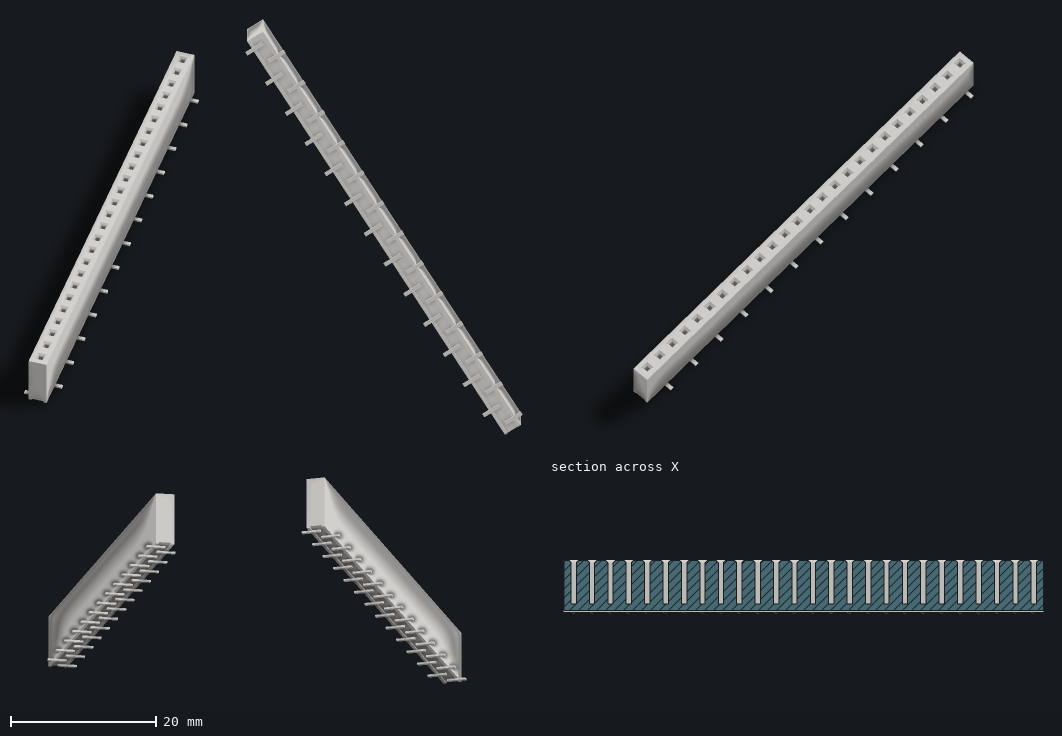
import cadquery as cq

overall_width = 4.65
overall_height = 7.4
body_length = 66.25
body_width = 2.6

contact_count = 26
end_margin = 1.4
pitch = (body_length - 2 * end_margin) / (contact_count - 1)
contact_ys = [i * pitch + end_margin - body_length / 2 for i in range(contact_count)]

tail_thickness = 0.25
tail_width = 0.5
tail_overlap = 0.3
tail_length = overall_width / 2 + tail_overlap

channel_width = 1.7
channel_depth = 0.2

mouth_size = 1.25
socket_size = 0.65
socket_depth = 5.95
lead_in_depth = (mouth_size - socket_size) / 2

body_height = overall_height - tail_thickness


def make_body():
    """Bar raised on the tails, standing on two long rails beside the channel."""
    underside = cq.Workplane("XY").workplane(offset=tail_thickness)
    bar = underside.rect(body_width, body_length).extrude(body_height)
    channel = underside.rect(channel_width, body_length).extrude(channel_depth)
    return bar.cut(channel)


def make_sockets():
    """Cutters for the whole row: straight square holes with tapered mouths."""
    top = cq.Workplane("XY").workplane(offset=overall_height)
    hole = top.rect(socket_size, socket_size).extrude(-socket_depth)
    lead_in = (
        top.rect(mouth_size, mouth_size)
        .workplane(offset=-lead_in_depth)
        .rect(socket_size, socket_size)
        .loft(combine=True)
    )
    cutter = hole.union(lead_in).val()
    spots = [(0, y) for y in contact_ys]
    return cq.Workplane("XY").pushPoints(spots).eachpoint(lambda spot: cutter.moved(spot))


def make_tails():
    """Tails start just past the centre line and run out to -X and +X by turns."""
    offset = tail_length / 2 - tail_overlap
    centers = [(-offset if i % 2 == 0 else offset, y) for i, y in enumerate(contact_ys)]
    return cq.Workplane("XY").pushPoints(centers).rect(tail_length, tail_width).extrude(tail_thickness)


result = make_body().cut(make_sockets()).union(make_tails())